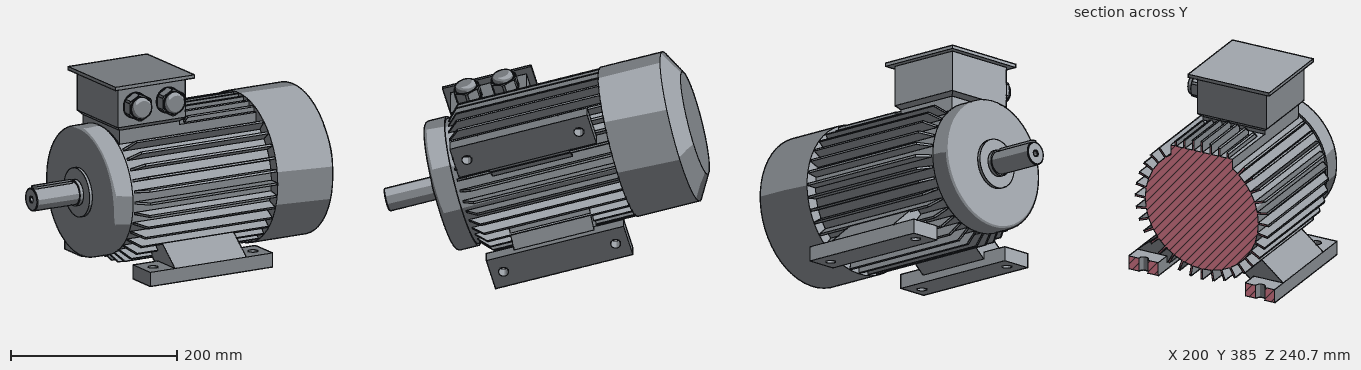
import cadquery as cq
import math


overlap = 4.0

shaft_dia = 28.0
shaft_len = 59.3
shaft_tip_dia = 26.0
shoulder_dia = 32.0
shoulder_len = 4.5
centre_hole_dia = 6.5
centre_hole_depth = 6.5
countersink_dia = 8.5
drill_angle = 118
key_width = 8.0
key_len = 56.5
key_gap = 1.0
key_top = 16.0

plate_len = 4.0
plate_front = shaft_len + shoulder_len
shield_front = plate_front + plate_len
shield_len = 27.0
shield_back = shield_front + shield_len
fin_front = 99.0
cowl_front = 290.3
cowl_taper_start = 367.5
motor_end = 385.0

plate_dia = 60.0
shield_dia = 160.0
shield_round = 5.0
frame_dia = 155.0
cowl_dia = 185.0
cowl_end_dia = 127.0

fin_circle_dia = 182.5
fin_thickness = 2.7
fin_step = 10
lowest_fin, highest_fin = -90, 50
root_radius = 57.8
fin_height = (fin_circle_dia - frame_dia) / 2

saddle_width = 84.7
saddle_top = 77.8
top_fin_pitch = 12.0
top_fin_pairs = 3
top_fin_front = 193.0
top_fin_chamfer = 4.5

box_neck = 84.7
box_size = 94.7
box_y = 140.5
neck_top = 82.5
box_top = 136.5
box_flare = (box_size - box_neck) / 2
lid_size = 111.0
lid_thickness = 4.2

gland_y = 139.8
gland_pitch = 46.2
gland_z = 112.5
gland_flats = 30.0
gland_nut_dia = 33.0
gland_washer_dia = 32.0
gland_washer_len = 1.5
gland_nut_len = 13.0
gland_nut_chamfer_len = 0.8
gland_nut_chamfer_depth = 2.0
gland_cap_dia = 26.0
gland_cap_len = 6.5
gland_cap_round = 4.0

shaft_height = 100.0
feet_width = 200.0
foot_width = 40.5
foot_len = 171.7
foot_height = 17.7
foot_front = 107.0
foot_hole_dia = 12.0
foot_hole_span = 160.0
foot_hole_pitch = 140.0
web_front = 141.5
web_len = 100.0
web_thickness = 32.5

foot_top = foot_height - shaft_height
foot_y = foot_front + foot_len / 2


def box_between(x, y, z):
    """Box spanning the given (low, high) pairs."""
    size = [high - low for low, high in (x, y, z)]
    return cq.Workplane("XY").box(*size, centered=False).translate((x[0], y[0], z[0]))


def axial_cylinder(dia, start, end):
    """Cylinder on the shaft axis between two stations."""
    return cq.Workplane("XZ", origin=(0, start, 0)).circle(dia / 2).extrude(start - end)


def fin_envelope(front, chamfer):
    """Cylinder around the fin tips, chamfered at its front end."""
    return axial_cylinder(fin_circle_dia, front, cowl_front).faces("<Y").chamfer(chamfer)


def make_frame():
    frame = axial_cylinder(frame_dia, shield_back - overlap, cowl_front + overlap)
    saddle = box_between(
        (-saddle_width / 2, saddle_width / 2),
        (box_y, cowl_front),
        (0, saddle_top),
    )
    return frame.union(saddle)


def make_cowl():
    cowl_profile = [
        (0, cowl_front),
        (cowl_dia / 2, cowl_front),
        (cowl_dia / 2, cowl_taper_start),
        (cowl_end_dia / 2, motor_end),
        (0, motor_end),
    ]
    return cq.Workplane("XY").polyline(cowl_profile).close().revolve(360, (0, 0, 0), (0, 1, 0))


def make_shield():
    shield = axial_cylinder(shield_dia, shield_front, shield_back).faces("<Y").edges().fillet(shield_round)
    return shield.union(axial_cylinder(plate_dia, plate_front, shield_back))


def make_radial_fins():
    """Fins on both flanks and the underside, up to the saddle."""
    blank = box_between(
        (root_radius, fin_circle_dia),
        (fin_front, cowl_front),
        (-fin_thickness / 2, fin_thickness / 2),
    )
    fins = cq.Workplane("XY")
    for angle in range(lowest_fin, highest_fin + 1, fin_step):
        fin = blank.rotate((0, 0, 0), (0, 1, 0), -angle)
        fins = fins.add(fin)
        if angle != lowest_fin:
            fins = fins.add(fin.mirror("YZ"))
    return fins.combine().intersect(fin_envelope(fin_front, fin_height))


def make_top_fins():
    """Upright parallel fins on the saddle, behind the terminal box."""
    fins = cq.Workplane("XY")
    for index in range(-top_fin_pairs, top_fin_pairs + 1):
        x = index * top_fin_pitch
        fins = fins.add(box_between(
            (x - fin_thickness / 2, x + fin_thickness / 2),
            (top_fin_front, cowl_front),
            (root_radius, fin_circle_dia),
        ))
    return fins.combine().intersect(fin_envelope(top_fin_front, top_fin_chamfer))


def make_terminal_box():
    neck = cq.Workplane("XY", origin=(0, box_y, 0)).rect(box_neck, box_neck).extrude(neck_top)
    body = (
        cq.Workplane("XY", origin=(0, box_y, neck_top))
        .rect(box_size, box_size)
        .extrude(box_top - neck_top)
        .faces("<Z")
        .chamfer(box_flare)
    )
    lid = (
        cq.Workplane("XY", origin=(0, box_y, box_top))
        .rect(lid_size, lid_size)
        .extrude(lid_thickness)
    )
    return neck.union(body).union(lid)


def make_gland(y):
    """Washer, corner-rounded hexagon nut and rounded cap, pointing along +X."""
    nut_start = gland_washer_len
    hexagon = (
        cq.Workplane("YZ")
        .polygon(6, gland_flats / math.cos(math.pi / 6))
        .extrude(gland_nut_len)
        .rotate((0, 0, 0), (1, 0, 0), 30)
    )
    nut = (
        cq.Workplane("YZ")
        .circle(gland_nut_dia / 2)
        .extrude(gland_nut_len)
        .faces(">X")
        .chamfer(gland_nut_chamfer_len, gland_nut_chamfer_depth)
        .intersect(hexagon)
        .translate((nut_start, 0, 0))
    )
    washer = (
        cq.Workplane("YZ", origin=(-overlap, 0, 0))
        .circle(gland_washer_dia / 2)
        .extrude(overlap + gland_washer_len)
    )
    cap = (
        cq.Workplane("YZ", origin=(nut_start, 0, 0))
        .circle(gland_cap_dia / 2)
        .extrude(gland_nut_len + gland_cap_len)
        .faces(">X")
        .edges()
        .fillet(gland_cap_round)
    )
    return washer.union(nut).union(cap).translate((box_size / 2, y, gland_z))


def make_foot():
    """Foot on the +X side, with a web that runs radially into the frame."""
    outer_x = feet_width / 2
    pad = box_between(
        (outer_x - foot_width, outer_x),
        (foot_front, foot_front + foot_len),
        (-shaft_height, foot_top),
    )

    slope = math.atan2(-foot_top, outer_x)
    web_reach = math.hypot(outer_x, foot_top)
    web = box_between(
        (root_radius, web_reach),
        (web_front, web_front + web_len),
        (-web_thickness, 0),
    ).rotate((0, 0, 0), (0, 1, 0), math.degrees(slope))
    trim = box_between(
        (0, outer_x),
        (web_front, web_front + web_len),
        (-shaft_height, 0),
    )

    holes = (
        cq.Workplane("XY", origin=(foot_hole_span / 2, foot_y, -shaft_height))
        .rarray(4, foot_hole_pitch, 1, 2)
        .circle(foot_hole_dia / 2)
        .extrude(foot_height)
    )
    return pad.union(web.intersect(trim)).cut(holes)


def make_shaft():
    tip_chamfer = (shaft_dia - shaft_tip_dia) / 2
    shaft = axial_cylinder(shaft_dia, 0, shield_front).faces("<Y").chamfer(tip_chamfer)
    shoulder = axial_cylinder(shoulder_dia, shaft_len, shield_front)
    key = (
        cq.Workplane("XY", origin=(0, key_gap + key_len / 2, 0))
        .slot2D(key_len, key_width, 90)
        .extrude(key_top)
    )
    hole_r = centre_hole_dia / 2
    point_len = hole_r / math.tan(math.radians(drill_angle / 2))
    centre_hole = (
        cq.Workplane("XY")
        .polyline([
            (0, 0),
            (countersink_dia / 2, 0),
            (hole_r, countersink_dia / 2 - hole_r),
            (hole_r, centre_hole_depth),
            (0, centre_hole_depth + point_len),
        ])
        .close()
        .revolve(360, (0, 0, 0), (0, 1, 0))
    )
    return shaft.union(shoulder).union(key).cut(centre_hole)


foot = make_foot()
result = (
    make_frame()
    .union(make_cowl())
    .union(make_shield())
    .union(make_radial_fins())
    .union(make_top_fins())
    .union(make_terminal_box())
    .union(foot)
    .union(foot.mirror("YZ"))
    .union(make_shaft())
)
for side in (-1, 1):
    result = result.union(make_gland(gland_y + side * gland_pitch / 2))